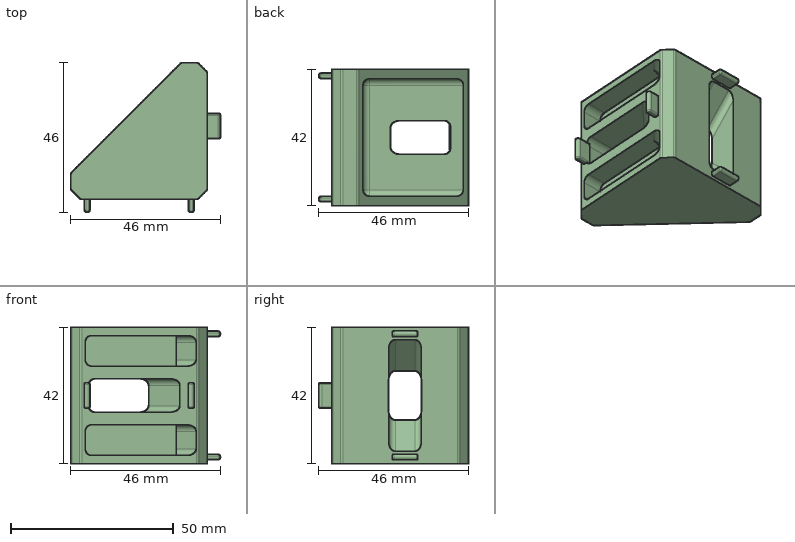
import cadquery as cq

LEG = 42.0
HEIGHT = 42.0
TIP_WIDTH = 8.0
CORNER_CHAMFER = 3.0
CORNER_RADIUS = 1.0

WALL = 9.6
SIDE_WALL = 3.0
CAVITY_RADIUS = 2.0

RECESS_RADIUS = 2.0
SLOT_LEFT = 5.5
SLOT_RIGHT = 33.5
SLOT_HEIGHT = 10.2
POCKET_LEFT = 4.5
POCKET_RIGHT = 38.5
POCKET_HEIGHT = 9.4
POCKET_FLOOR = 3.0
POCKET_DEPTH = WALL - POCKET_FLOOR
POCKET_STEP_X = LEG - WALL
POCKET_OFFSET = 13.7

WINDOW_WIDTH = 10.0
WINDOW_HEIGHT = 15.0
WINDOW_CENTER_Y = 22.5
WINDOW_RADIUS = 2.0

TAB_THICKNESS = 1.8
TAB_LENGTH = 7.8
TAB_PROJECTION = 4.0
TAB_EDGE_RADIUS = 0.5
TAB_ROOT = 1.0
FRONT_TAB_CENTERS_X = (5.05, 37.0)
SIDE_TAB_OFFSET_Z = 18.9
SIDE_TAB_CENTER_Y = WINDOW_CENTER_Y


def prism(points, height):
    """Extrude an XY outline symmetrically about Z = 0."""
    return cq.Workplane("XY").polyline(points).close().extrude(height / 2, both=True)


def make_body():
    outline = [
        (CORNER_CHAMFER, 0),
        (LEG - CORNER_CHAMFER, 0),
        (LEG, CORNER_CHAMFER),
        (LEG, LEG - CORNER_CHAMFER),
        (LEG - CORNER_CHAMFER, LEG),
        (LEG - TIP_WIDTH, LEG),
        (0, TIP_WIDTH),
        (0, CORNER_CHAMFER),
    ]
    return prism(outline, HEIGHT).edges("|Z").fillet(CORNER_RADIUS)


def make_cavity():
    """Box-shaped cavity open through the sloped face, rounded where its walls meet."""
    inner_x = LEG - WALL
    outline = [(inner_x, WALL), (inner_x, LEG), (0, LEG), (0, WALL)]
    cavity = prism(outline, HEIGHT - 2 * SIDE_WALL)
    rounded_edges = cavity.faces(">X").edges("|Y or <Y").add(cavity.faces("<Y").edges("|X"))
    return rounded_edges.fillet(CAVITY_RADIUS)


def make_recess(left, right, height, depth):
    """Recess from the -Y face whose +X end leans inwards at 45 degrees."""
    outline = [(left, 0), (right, 0), (right - depth, depth), (left, depth)]
    return prism(outline, height).edges("not(|X or |Z)").fillet(RECESS_RADIUS)


def make_pocket():
    """Square-cornered blind block with a shallower leaning end on its +X side."""
    leaning_depth = POCKET_RIGHT - POCKET_STEP_X
    leaning_end = make_recess(POCKET_LEFT, POCKET_RIGHT, POCKET_HEIGHT, leaning_depth)
    outline = [
        (POCKET_LEFT, 0),
        (POCKET_STEP_X, 0),
        (POCKET_STEP_X, POCKET_DEPTH),
        (POCKET_LEFT, POCKET_DEPTH),
    ]
    main_block = prism(outline, POCKET_HEIGHT).faces("<X").edges("|Y").fillet(RECESS_RADIUS)
    return main_block.union(leaning_end)


def make_window():
    """Opening through the +X wall, widening in Z towards the outside."""
    inner_x = LEG - WALL
    inner_z = WINDOW_HEIGHT / 2
    outer_z = inner_z + WALL
    outline = [(inner_x, -inner_z), (LEG, -outer_z), (LEG, outer_z), (inner_x, inner_z)]
    window = cq.Workplane("XZ").polyline(outline).close().extrude(WINDOW_WIDTH / 2, both=True)
    window = window.edges("not(|Y or |Z)").fillet(WINDOW_RADIUS)
    return window.translate((0, WINDOW_CENTER_Y, 0))


def make_tab():
    """Tab pointing along -Y from the origin, long in Z, with a rounded tip and ends."""
    half = TAB_THICKNESS / 2
    tip_start = half - TAB_PROJECTION
    tab = (
        cq.Workplane("XY")
        .moveTo(-half, TAB_ROOT)
        .lineTo(-half, tip_start)
        .threePointArc((0, -TAB_PROJECTION), (half, tip_start))
        .lineTo(half, TAB_ROOT)
        .close()
        .extrude(TAB_LENGTH / 2, both=True)
    )
    return tab.faces("<Z or >Z").edges("not >Y").fillet(TAB_EDGE_RADIUS)


def make_side_tab():
    """The same tab pointing along +X, long in Y."""
    upright = make_tab().rotate((0, 0, 0), (0, 0, 1), 90)
    return upright.rotate((0, 0, 0), (1, 0, 0), 90)


result = make_body().cut(make_cavity())

result = result.cut(make_recess(SLOT_LEFT, SLOT_RIGHT, SLOT_HEIGHT, WALL))
for side in (-1, 1):
    result = result.cut(make_pocket().translate((0, 0, side * POCKET_OFFSET)))
result = result.cut(make_window())

for center_x in FRONT_TAB_CENTERS_X:
    result = result.union(make_tab().translate((center_x, 0, 0)))
for side in (-1, 1):
    result = result.union(make_side_tab().translate((LEG, SIDE_TAB_CENTER_Y, side * SIDE_TAB_OFFSET_Z)))